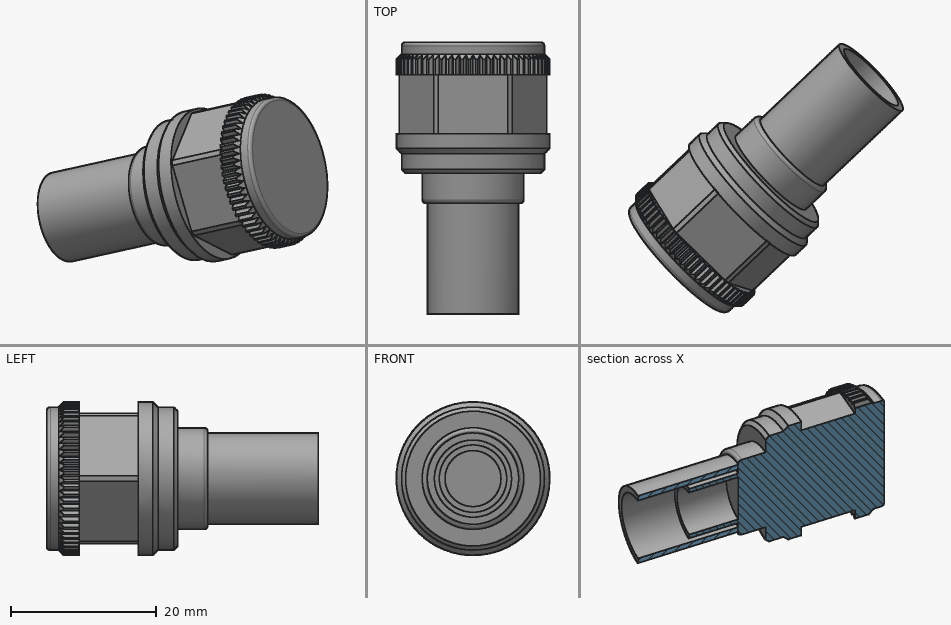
import cadquery as cq
import math

TOTAL_LENGTH = 37.35

FERRULE_RADIUS = 6.27
FERRULE_BORE_RADIUS = 5.3
FERRULE_LENGTH = 15.2

NECK_RADIUS = 4.63
NECK_BORE_RADIUS = 3.85
NECK_LENGTH = 7.45

COLLAR_RADIUS = 7.0
COLLAR_FILLET = 0.52
COLLAR_END = 19.3

MAX_DIAMETER = 21.1
MAX_RADIUS = MAX_DIAMETER / 2
STEP_RADIUS = 9.82
STEP_CHAMFER = 0.55
OUTER_CHAMFER = MAX_RADIUS - STEP_RADIUS
FLANGE_START = 22.03
FLANGE_END = 24.75

HEX_ACROSS_FLATS = 17.95
HEX_CORNER_RADIUS = 10.15
HEX_SIDES = 6

KNURL_START = 32.85
KNURL_END = 35.7
RIM_FILLET = 0.5
GROOVE_COUNT = 65
GROOVE_WIDTH = 0.7
GROOVE_DEPTH = 0.6


def cylinder(radius, y_start, y_end):
    """Solid cylinder on the Y axis; the XZ plane faces -Y, so a negative depth runs toward +Y."""
    return cq.Workplane("XZ", origin=(0, y_start, 0)).circle(radius).extrude(y_start - y_end)


def make_ferrule():
    tube = cylinder(FERRULE_RADIUS, 0, FERRULE_LENGTH)
    return tube.cut(cylinder(FERRULE_BORE_RADIUS, 0, FERRULE_LENGTH))


def make_neck():
    neck_start = FERRULE_LENGTH - NECK_LENGTH
    neck = cylinder(NECK_RADIUS, neck_start, FERRULE_LENGTH)
    return neck.cut(cylinder(NECK_BORE_RADIUS, neck_start, FERRULE_LENGTH))


def make_collar():
    return cylinder(COLLAR_RADIUS, FERRULE_LENGTH, COLLAR_END).faces("<Y").edges().fillet(COLLAR_FILLET)


def make_flange():
    step = cylinder(STEP_RADIUS, COLLAR_END, FLANGE_START).faces("<Y").edges().chamfer(STEP_CHAMFER)
    flange = cylinder(MAX_RADIUS, FLANGE_START, FLANGE_END).faces("<Y").edges().chamfer(OUTER_CHAMFER)
    return step.union(flange)


def make_hex():
    corner_diameter = HEX_ACROSS_FLATS / math.cos(math.pi / HEX_SIDES)
    prism = (
        cq.Workplane("XZ", origin=(0, FLANGE_END, 0))
        .polygon(HEX_SIDES, corner_diameter)
        .extrude(FLANGE_END - KNURL_START)
    )
    return prism.intersect(cylinder(HEX_CORNER_RADIUS, FLANGE_END, KNURL_START))


def make_knurl_ring():
    ring = cylinder(MAX_RADIUS, KNURL_START, KNURL_END).faces(">Y").edges().chamfer(OUTER_CHAMFER)
    bottom_radius = MAX_RADIUS - GROOVE_DEPTH
    cutter_radius = MAX_RADIUS + GROOVE_DEPTH
    cutter_half_width = GROOVE_WIDTH / 2 * (cutter_radius - bottom_radius) / GROOVE_DEPTH
    cutter = (
        cq.Workplane("XZ", origin=(0, KNURL_START, 0))
        .polyline([
            (0, bottom_radius),
            (cutter_half_width, cutter_radius),
            (-cutter_half_width, cutter_radius),
        ])
        .close()
        .extrude(KNURL_START - KNURL_END)
        .val()
    )
    pitch_angle = 360 / GROOVE_COUNT
    for index in range(GROOVE_COUNT):
        ring = ring.cut(cq.Workplane(cutter.rotate((0, 0, 0), (0, 1, 0), index * pitch_angle)))
    return ring


def make_rim():
    return cylinder(STEP_RADIUS, KNURL_END, TOTAL_LENGTH).faces(">Y").edges().fillet(RIM_FILLET)


def make_connector():
    connector = make_neck()
    for section in (make_collar(), make_flange(), make_hex(), make_knurl_ring(), make_rim()):
        connector = connector.union(section)
    return connector


ferrule = make_ferrule()
connector = make_connector()
result = cq.Compound.makeCompound([ferrule.val(), connector.val()])